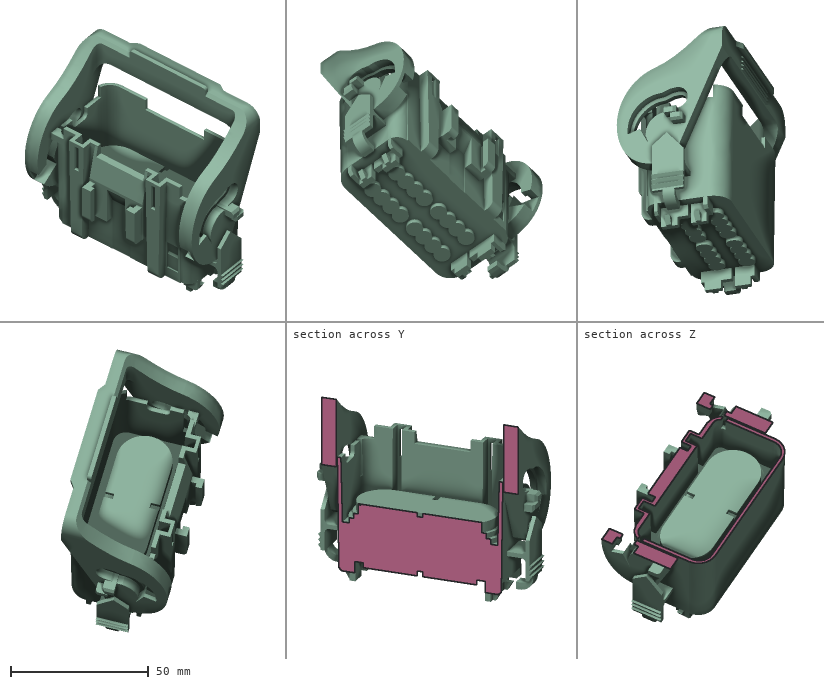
import cadquery as cq

OVER = 1.0
REACH = 30.0

BODY_H = 45.0
BODY_HALF_X = 32.06
BODY_BACK = 15.55
BODY_FRONT = -15.7
BODY_DRAFT = 0.75
BACK_CORNER_R = 6.8
FRONT_CORNER_R = 4.9
FLOOR_Z = 15.0
CAVITY_HALF_X = 30.4
CAVITY_BACK = 14.1
CAVITY_FRONT = -13.9
CAVITY_DRAFT = 1.4
CAVITY_BACK_R = 4.8
CAVITY_FRONT_R = 2.5
SHOULDER_Z = 40.0
SHOULDER_BACK = 10.7
SHOULDER_INNER_X = 26.9
DIP_BACK = 2.9
DIP_FRONT = -5.8
DIP_Z = 35.9
DIP_R = 2.0
FRONT_WINDOW_HALF_X = 10.95
BACK_WINDOW_HALF_X = 13.6
WINDOW_Z = 40.5
CORNER_Z = 37.0
CORNER_OUT_X = 32.7
SLIT_BACK = -10.8
SLIT_FRONT = -12.45
SLIT_Z = 26.0

PLUG_HALF_STRAIGHT = 16.8
PLUG_STEPS = ((13.1, 17.0), (11.6, 19.0), (10.3, 23.0))
PLUG_NOTCH_W = 2.1
PLUG_NOTCH_L = 3.4
PLUG_NOTCH_DEPTH = 1.5

WALL_FACE = -16.3
WALL_HALF_X = 27.3
RIB_X = 17.75
RIB_TOP_W = 6.8
RIB_FOOT_W = 5.0
RIB_FACE = -20.3
RIB_FOOT_R = 3.0
RIB_POCKET_W = 3.6
RIB_POCKET_FRONT = -19.0
RIB_WINDOW_W = 1.9
RIB_WINDOW_Z = (32.6, 43.5)
KEY_X = (21.1, 26.2)
KEY_Z = (4.4, 16.3)
KEY_MID_Z = (10.4, 11.3)
KEY_DEPTH = 1.2

SEAT_HALF_X = 12.25
SEAT_FACE = -19.5
SEAT_BASE_Z = 14.8
SEAT_TOP_Z = 31.3
SEAT_RIM_FACE = -17.3
SEAT_SLOT_HALF_X = 4.26
SEAT_SLOT_Z = (23.0, 30.0)
SEAT_SLOT_FLOOR = WALL_FACE + 0.2
HOOK_TOP_Z = 30.0
HOOK_OUT_X = 12.1
HOOK_STEM_X = 9.7
HOOK_TOE_X = 8.25
HOOK_TOE_BACK = -21.65
HOOK_FACE = -24.01
HOOK_FOOT_R = 2.0

CELL_D = 6.2
CELL_DROP = 1.9
CELL_PITCH = 5.1
CELL_FIRST_X = 4.0
CELL_ROWS = (7.5, -4.0)
FOOT_X = (25.5, 27.7)
FOOT_DROP = 7.67
FEET_Y = ((0.9, 6.8), (-10.55, -4.25))
WEDGE_W = 2.0
WEDGE_TOP_X = 30.7
WEDGE_TIP_X = 28.8
WEDGE_TOP_DROP = 4.5
RAIL_OUT_X = 32.0
RAIL_DROP = 4.4
RAIL_CHAMFER = 1.2
RAILS_Y = ((6.8, 8.5), (-12.0, -10.55))
STEP_Y = (-4.25, -0.3)

LEVER_IN_X = 39.5
LEVER_OUT_X = 41.05
LEVER_BACK = 2.1
LEVER_FRONT = -9.9
LEVER_Z = 0.5
LEVER_TIP = (-4.3, 23.7)
LEVER_SHOULDERS = (16.5, 19.0)
LEVER_TEETH_Z = (1.9, 3.9, 6.0)
LEVER_TOOTH = 1.0
LEVER_TOOTH_H = 1.4
WEB_Z = (9.2, 10.9)
WEB_R = 1.8
WEB_ROOT_X = 31.5
CURL_BACK = -1.4
CURL_FRONT = -5.9
CURL_R = 5.15
CURL_TIP_X = 34.25
CURL_T = 2.8
NUB_D = 4.0
NUB_Z = 19.5

ARM_IN_X = 32.8
ARM_OUT_X = 38.75
HANDLE_BACK = 16.0
HANDLE_TOP = 67.2
HANDLE_R = ARM_OUT_X - ARM_IN_X
BAR_FRONT = 10.5
BAR_BASE_Z = 58.0
BAR_BASE_R = 7.0
BAR_INNER_R = 2.6
PLATE_HALF_X = 17.65
PLATE_BACK = 12.1
PLATE_TOP = 69.29
PLATE_R = 1.2
LIP_BACK = 17.97
LIP_H = 2.2
LIP_HALF_X = (21.7, 18.85)
GRIP_TEETH_Z = (58.7, 60.3, 61.8, 63.5)
GRIP_TOOTH = 1.0
GRIP_TOOTH_H = 0.8
GRIP_HALF_X = 15.0
SLOT_LEDGE = 1.45
SLOT_LEDGE_DEPTH = 3.6
TRACK_DEPTH = 4.5

PIN_Z = 30.7
PIN_GAP = 0.4
PIN_OUT_X = 42.855
PIN_ROOT_X = 31.2
PRONG_H = 2.8
PRONG_UPPER_Y = (-4.9, -0.5)
PRONG_LOWER_Y = (-2.4, 2.1)
PRONG_CHAMFER = 0.9


def block(x, y, z):
    """Box from three (start, end) pairs, each in either order."""
    size = [abs(end - start) for start, end in (x, y, z)]
    low = [min(pair) for pair in (x, y, z)]
    return cq.Workplane("XY").box(*size, centered=False).translate(tuple(low))


def side_plate(profile, x_start, x_end):
    """Extrude a closed YZ profile between two X positions."""
    return profile.extrude(x_end - x_start).translate((x_start, 0, 0))


def across(points, half_x):
    """Extrude a YZ polygon symmetrically about X = 0."""
    return cq.Workplane("YZ").polyline(points).close().extrude(half_x, both=True)


def both_sides(solid):
    """The solid together with its mirror image in X."""
    return solid.union(solid.mirror("YZ"))


def drafted_block(half_x, front, back, corner_radii, height, draft):
    """Block on the XY plane whose walls lean outwards, with rounded corners."""
    back_r, front_r = corner_radii
    outline = cq.Sketch().push([(0, (back + front) / 2)]).rect(2 * half_x, back - front)
    outline = outline.reset().vertices(">Y").fillet(back_r)
    outline = outline.reset().vertices("<Y").fillet(front_r)
    return cq.Workplane("XY").placeSketch(outline).extrude(height, taper=-draft)


def housing_shell():
    shell = drafted_block(
        BODY_HALF_X,
        BODY_FRONT,
        BODY_BACK,
        (BACK_CORNER_R, FRONT_CORNER_R),
        BODY_H,
        BODY_DRAFT,
    )
    wall = block((-WALL_HALF_X, WALL_HALF_X), (CAVITY_FRONT, WALL_FACE), (0, BODY_H))
    corner = block(
        (SHOULDER_INNER_X, CORNER_OUT_X), (SLIT_FRONT, WALL_FACE), (CORNER_Z, SHOULDER_Z)
    )
    return shell.union(wall).union(both_sides(corner))


def cavity():
    hollow = drafted_block(
        CAVITY_HALF_X,
        CAVITY_FRONT,
        CAVITY_BACK,
        (CAVITY_BACK_R, CAVITY_FRONT_R),
        BODY_H + OVER - FLOOR_Z,
        CAVITY_DRAFT,
    )
    return hollow.translate((0, 0, FLOOR_Z))


def side_openings():
    """Lowered shoulders, curved dips and front slits of the side walls."""
    top = BODY_H + OVER
    outer = ARM_IN_X + OVER
    shoulder = block((SHOULDER_INNER_X, outer), (SHOULDER_BACK, -REACH), (SHOULDER_Z, top))
    inner = CAVITY_HALF_X - OVER
    dip = block((inner, outer), (DIP_BACK, DIP_FRONT), (DIP_Z, top))
    dip = dip.edges("|X and <Z").fillet(DIP_R)
    slit = block((inner, outer), (SLIT_BACK, SLIT_FRONT), (SLIT_Z, top))
    return both_sides(shoulder.union(dip).union(slit))


def plug():
    body = None
    for radius, top in PLUG_STEPS:
        length = 2 * (PLUG_HALF_STRAIGHT + radius)
        step = cq.Workplane("XY").slot2D(length, 2 * radius).extrude(top)
        body = step if body is None else body.union(step)
    face_r, face_z = PLUG_STEPS[-1]
    half = PLUG_NOTCH_W / 2
    for side in (1, -1):
        notch_y = (side * (face_r - PLUG_NOTCH_L), side * face_r)
        body = body.cut(block((-half, half), notch_y, (face_z - PLUG_NOTCH_DEPTH, face_z)))
    return body


def windows():
    """Wide notch in the back wall and a narrower one in the front wall."""
    z = (WINDOW_Z, BODY_H + OVER)
    back = block((-BACK_WINDOW_HALF_X, BACK_WINDOW_HALF_X), (0, BODY_BACK + 2 * OVER), z)
    front = block((-FRONT_WINDOW_HALF_X, FRONT_WINDOW_HALF_X), (0, HOOK_FACE), z)
    return back.union(front)


def rib():
    """Tapered hollow rib with a rounded foot."""
    body = (
        cq.Workplane("XZ", origin=(0, CAVITY_FRONT, 0))
        .moveTo(RIB_X - RIB_FOOT_W / 2, 0)
        .lineTo(RIB_X + RIB_FOOT_W / 2, 0)
        .lineTo(RIB_X + RIB_TOP_W / 2, BODY_H)
        .lineTo(RIB_X - RIB_TOP_W / 2, BODY_H)
        .close()
        .extrude(CAVITY_FRONT - RIB_FACE)
    )
    return body.edges("<Z and <Y").fillet(RIB_FOOT_R)


def rib_hollow():
    half = RIB_POCKET_W / 2
    pocket = block(
        (RIB_X - half, RIB_X + half),
        (CAVITY_FRONT + OVER, RIB_POCKET_FRONT),
        (FLOOR_Z, BODY_H + OVER),
    )
    half = RIB_WINDOW_W / 2
    window = block(
        (RIB_X - half, RIB_X + half), (CAVITY_FRONT, RIB_FACE - OVER), RIB_WINDOW_Z
    )
    return pocket.union(window)


def key_pocket():
    """Stepped recess low on the right of the front wall."""
    low, high = KEY_Z
    mid_low, mid_high = KEY_MID_Z
    deep = WALL_FACE + KEY_DEPTH
    shallow = WALL_FACE + KEY_DEPTH / 2
    profile = cq.Workplane("YZ").polyline([
        (WALL_FACE - OVER, low),
        (shallow, low),
        (shallow, mid_low),
        (deep, mid_high),
        (shallow, high),
        (WALL_FACE - OVER, high),
    ]).close()
    return side_plate(profile, *KEY_X)


def latch_seat():
    """Raised panel with a sloped top and two L-shaped hooks."""
    lean = (SEAT_RIM_FACE - SEAT_FACE) / (WINDOW_Z - SEAT_TOP_Z)
    panel = across([
        (CAVITY_FRONT, SEAT_BASE_Z),
        (SEAT_FACE, SEAT_BASE_Z),
        (SEAT_FACE, SEAT_TOP_Z),
        (SEAT_FACE + lean * (BODY_H - SEAT_TOP_Z), BODY_H),
        (CAVITY_FRONT, BODY_H),
    ], SEAT_HALF_X)
    hook_z = (SEAT_BASE_Z, HOOK_TOP_Z)
    stem = block((HOOK_STEM_X, HOOK_OUT_X), (SEAT_FACE, HOOK_FACE), hook_z)
    toe = block((HOOK_TOE_X, HOOK_OUT_X), (HOOK_TOE_BACK, HOOK_FACE), hook_z)
    hook = stem.union(toe).edges("<Z and <Y").fillet(HOOK_FOOT_R)
    return panel.union(both_sides(hook))


def latch_slot():
    """Central slot of the seat, shallow below it, with a sloped upper end."""
    slot_low, slot_high = SEAT_SLOT_Z
    return across([
        (SEAT_SLOT_FLOOR, -OVER),
        (SEAT_FACE - OVER, -OVER),
        (SEAT_FACE - OVER, slot_high),
        (SEAT_FACE, slot_high),
        (SEAT_SLOT_FLOOR, slot_low),
    ], SEAT_SLOT_HALF_X)


def contact_cells():
    """Two rows of overlapping short cylinders, four per half."""
    spots = [
        (CELL_FIRST_X + column * CELL_PITCH, row) for column in range(4) for row in CELL_ROWS
    ]
    cells = cq.Workplane("XY")
    for x, y in spots:
        cells = cells.union(cq.Workplane("XY").center(x, y).circle(CELL_D / 2).extrude(-CELL_DROP))
    return both_sides(cells)


def feet():
    """Feet with a sloped centre wedge, and the low rails beside them, on one side."""
    root = 1.0
    inner = FOOT_X[0]
    group = block(FOOT_X, STEP_Y, (-RAIL_DROP, root))
    for front, back in FEET_Y:
        group = group.union(block(FOOT_X, (front, back), (-FOOT_DROP, root)))
        wedge_back = (front + back + WEDGE_W) / 2
        wedge = cq.Workplane("XZ", origin=(0, wedge_back, 0)).polyline([
            (inner, -WEDGE_TOP_DROP),
            (WEDGE_TOP_X, -WEDGE_TOP_DROP),
            (WEDGE_TIP_X, -FOOT_DROP),
            (inner, -FOOT_DROP),
        ]).close().extrude(WEDGE_W)
        group = group.union(wedge)
    for rail_y in RAILS_Y:
        rail = block((inner, RAIL_OUT_X), rail_y, (-RAIL_DROP, root))
        group = group.union(rail.edges("|Y and >X and <Z").chamfer(RAIL_CHAMFER))
    return group


def lever():
    back_z, front_z = LEVER_SHOULDERS
    blade = cq.Workplane("YZ").polyline([
        (LEVER_BACK, LEVER_Z),
        (LEVER_BACK, back_z),
        LEVER_TIP,
        (LEVER_FRONT, front_z),
        (LEVER_FRONT, LEVER_Z),
    ]).close()
    body = side_plate(blade, LEVER_IN_X, LEVER_OUT_X)
    width = LEVER_BACK - LEVER_FRONT
    face = cq.Workplane("XZ", origin=(0, LEVER_BACK, 0))
    for z in LEVER_TEETH_Z:
        tooth = face.polyline([
            (LEVER_OUT_X, z - LEVER_TOOTH_H / 2),
            (LEVER_OUT_X + LEVER_TOOTH, z + LEVER_TOOTH_H / 2),
            (LEVER_OUT_X, z + LEVER_TOOTH_H / 2),
        ]).close().extrude(width)
        body = body.union(tooth)
    low, high = WEB_Z
    web = (
        face.moveTo(WEB_ROOT_X, high)
        .lineTo(LEVER_IN_X - WEB_R, high)
        .radiusArc((LEVER_IN_X, high + WEB_R), -WEB_R)
        .lineTo(LEVER_IN_X, low - WEB_R)
        .radiusArc((LEVER_IN_X - WEB_R, low), -WEB_R)
        .lineTo(WEB_ROOT_X, low)
        .close()
        .extrude(width)
    )
    nub = (
        cq.Workplane("YZ", origin=(ARM_OUT_X, 0, 0))
        .center(LEVER_TIP[0], NUB_Z)
        .circle(NUB_D / 2)
        .extrude(LEVER_IN_X - ARM_OUT_X)
    )
    return body.union(web).union(nub).union(lever_curl())


def lever_curl():
    """Narrow inward-curling tail below the blade."""
    bend_x = LEVER_OUT_X - CURL_R
    bottom = LEVER_Z - CURL_R
    inner_r = LEVER_IN_X - bend_x
    return (
        cq.Workplane("XZ", origin=(0, CURL_BACK, 0))
        .moveTo(LEVER_OUT_X, LEVER_Z)
        .radiusArc((bend_x, bottom), CURL_R)
        .lineTo(CURL_TIP_X, bottom)
        .lineTo(CURL_TIP_X, bottom + CURL_T)
        .lineTo(bend_x, bottom + CURL_T)
        .radiusArc((LEVER_IN_X, LEVER_Z), -inner_r)
        .close()
        .extrude(CURL_BACK - CURL_FRONT)
    )


def handle_profile():
    """Side outline of the handle in the YZ plane."""
    return (
        cq.Workplane("YZ")
        .moveTo(HANDLE_BACK, HANDLE_TOP)
        .lineTo(HANDLE_BACK, 56.8)
        .lineTo(-2.1, 15.2)
        .threePointArc((-5.5, 13.1), (-11.2, 13.05))
        .spline([(-20.1, 17.9), (-24.0, 29.6), (-19.8, 43.9), (-10.2, 51.5)], includeCurrent=True)
        .spline([(-4.9, 53.8), (2.15, 58.4), (11.75, HANDLE_TOP)], includeCurrent=True)
        .close()
    )


def handle_slot_profile(extra=0.0):
    """Curved guide slot: a round pocket that runs into a sickle-shaped track.

    The track's pointed end is lowered by extra.
    """
    return (
        cq.Workplane("YZ")
        .moveTo(-1.2, 42.65)
        .threePointArc((3.0, 38.6), (-0.4, 34.4))
        .lineTo(-2.6, 34.0)
        .lineTo(-4.95, 33.1)
        .lineTo(-7.0, 33.06)
        .threePointArc((-11.4, 30.1), (-12.9, 24.6))
        .lineTo(-12.1, 21.8 - extra)
        .lineTo(-15.2, 27.75 - extra)
        .lineTo(-19.8, 26.2 - extra)
        .threePointArc((-17.4, 35.5), (-9.5, 40.9))
        .lineTo(-6.8, 41.2)
        .lineTo(-3.7, 42.4)
        .close()
    )


def arm_openings():
    """Stepped guide slot of one arm, and its track that runs out to the rim."""
    ledge_x = ARM_OUT_X - SLOT_LEDGE_DEPTH
    wide = side_plate(handle_slot_profile(), ledge_x, ARM_OUT_X + OVER)
    inset = handle_slot_profile(2 * SLOT_LEDGE).offset2D(-SLOT_LEDGE)
    narrow = side_plate(inset, ARM_IN_X - OVER, ARM_OUT_X)
    narrow = narrow.intersect(side_plate(handle_slot_profile(), ARM_IN_X - OVER, ARM_OUT_X))
    track = cq.Workplane("YZ").polyline([
        (-15.2, 27.75),
        (-12.9, 23.0),
        (-20.0, 18.3),
        (-25.0, 18.3),
        (-25.0, 23.6),
        (-19.8, 26.2),
    ]).close()
    track = side_plate(track, ARM_IN_X - OVER, ARM_IN_X + TRACK_DEPTH)
    return wide.union(narrow).union(track)


def handle():
    body = handle_profile().extrude(ARM_OUT_X, both=True)
    frame = block((-ARM_OUT_X, ARM_OUT_X), (-REACH, REACH), (-OVER, HANDLE_TOP))
    body = body.intersect(frame.edges("|Y and >Z").fillet(HANDLE_R))
    inner_x = (-ARM_IN_X, ARM_IN_X)
    front_gap = block(inner_x, (-REACH, BAR_FRONT), (-OVER, PLATE_TOP + OVER))
    body = body.cut(front_gap.edges("|Z and >Y").fillet(BAR_INNER_R))
    opening = block(inner_x, (-REACH, HANDLE_BACK + OVER), (-OVER, BAR_BASE_Z))
    body = body.cut(opening.edges("|Y and >Z").fillet(BAR_BASE_R))
    plate = block(
        (-PLATE_HALF_X, PLATE_HALF_X), (BAR_FRONT, PLATE_BACK), (BAR_BASE_Z + OVER, PLATE_TOP)
    )
    body = body.union(plate.edges("|Y and >Z").fillet(PLATE_R))
    body = body.union(back_lip()).union(grip_teeth())
    return body.cut(both_sides(arm_openings()))


def back_lip():
    root, tip = LIP_HALF_X
    outline = [
        (-root, HANDLE_BACK),
        (-tip, LIP_BACK),
        (tip, LIP_BACK),
        (root, HANDLE_BACK),
    ]
    lip = cq.Workplane("XY", origin=(0, 0, HANDLE_TOP - LIP_H))
    return lip.polyline(outline).close().extrude(LIP_H)


def grip_teeth():
    """Row of pointed ridges along the back of the bar."""
    teeth = None
    for z in GRIP_TEETH_Z:
        tooth = across([
            (HANDLE_BACK, z + GRIP_TOOTH_H),
            (HANDLE_BACK + GRIP_TOOTH, z),
            (HANDLE_BACK, z),
        ], GRIP_HALF_X)
        teeth = tooth if teeth is None else teeth.union(tooth)
    return teeth


def split_pin():
    """Two offset prongs that carry the handle on one side."""
    x = (PIN_ROOT_X, PIN_OUT_X)
    gap = PIN_GAP / 2
    upper = block(x, PRONG_UPPER_Y, (PIN_Z + gap, PIN_Z + gap + PRONG_H))
    upper = upper.faces(">X").edges(">Z or >Y").chamfer(PRONG_CHAMFER)
    lower = block(x, PRONG_LOWER_Y, (PIN_Z - gap, PIN_Z - gap - PRONG_H))
    lower = lower.faces(">X").edges("<Z or >Y").chamfer(PRONG_CHAMFER)
    return upper.union(lower)


housing = housing_shell().union(latch_seat()).union(both_sides(rib()))
housing = housing.cut(cavity()).cut(both_sides(rib_hollow()))
housing = housing.cut(latch_slot()).cut(windows()).cut(side_openings()).cut(key_pocket())
housing = housing.union(plug()).union(contact_cells())
housing = housing.union(both_sides(feet())).union(both_sides(lever()))

result = housing.union(handle()).union(both_sides(split_pin()))